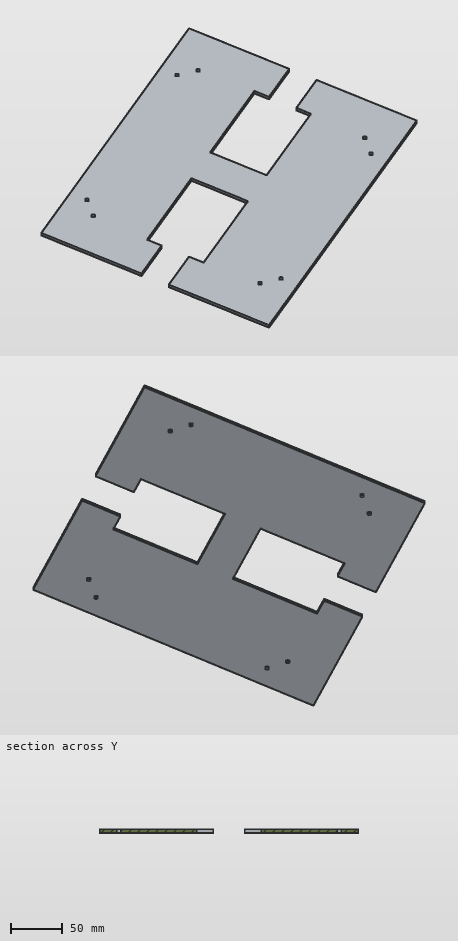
import cadquery as cq

WIDTH = 250.0
LENGTH = 300.0
THICKNESS = 4.0

WINDOW_WIDTH = 62.0
WINDOW_LENGTH = 90.0
MOUTH_WIDTH = 30.0
BRIDGE_LENGTH = 38.0

HOLE_DIAMETER = 3.6
HOLE_NEAR = 91.5
HOLE_SPREAD = 15.0
HOLE_FAR = HOLE_NEAR + HOLE_SPREAD


def make_plate():
    return cq.Workplane("XY").box(WIDTH, LENGTH, THICKNESS)


def make_cutout(side):
    """Window and mouth at the +Y end (side = 1) or the -Y end (side = -1)."""
    window_start = BRIDGE_LENGTH / 2
    mouth_start = window_start + WINDOW_LENGTH
    mouth_length = LENGTH / 2 - mouth_start
    window = (
        cq.Workplane("XY")
        .center(0, side * (window_start + WINDOW_LENGTH / 2))
        .box(WINDOW_WIDTH, WINDOW_LENGTH, THICKNESS)
    )
    mouth = (
        cq.Workplane("XY")
        .center(0, side * (mouth_start + mouth_length / 2))
        .box(MOUTH_WIDTH, mouth_length, THICKNESS)
    )
    return window.union(mouth)


def drill_screw_holes(plate):
    centres = [
        (x_side * x, y_side * y)
        for x_side in (-1, 1)
        for y_side in (-1, 1)
        for x, y in ((HOLE_NEAR, HOLE_FAR), (HOLE_FAR, HOLE_NEAR))
    ]
    return plate.faces(">Z").workplane().pushPoints(centres).hole(HOLE_DIAMETER)


result = make_plate()
for end in (-1, 1):
    result = result.cut(make_cutout(end))
result = drill_screw_holes(result)